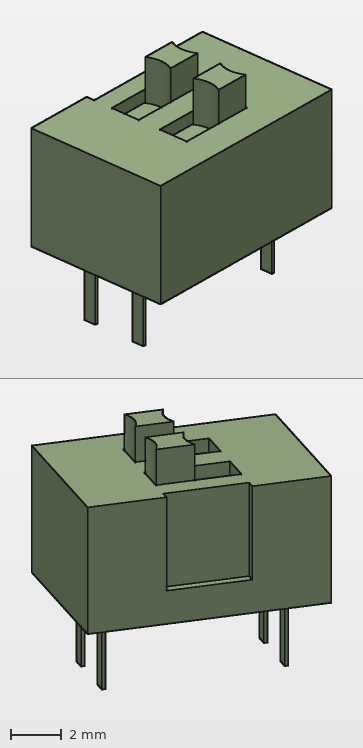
import cadquery as cq

BODY_WIDTH = 6.84
BODY_LENGTH = 10.16
BODY_HEIGHT = 5.41

SWITCH_PITCH = 2.54
SWITCH_SHIFT = -0.11
SWITCH_CENTERS = [SWITCH_SHIFT + side * SWITCH_PITCH / 2 for side in (-1, 1)]

SLOT_WIDTH = 1.42
SLOT_LENGTH = 3.57
SLOT_DEPTH = 0.6

SLIDER_WIDTH = 1.34
SLIDER_LENGTH = 1.61
SLIDER_RISE = 1.5
SLIDER_END_GAP = 0.03
SLIDER_HOLLOW = 0.18

RECESS_DEPTH = 0.4
RECESS_HEIGHT = 3.98

PIN_WIDTH = 0.58
PIN_THICKNESS = 0.15
PIN_LENGTH = 3.19
PIN_ROW_SPACING = 7.62


def block(x_size, y_size, z_size, x, y, z_bottom):
    """Box centred on (x, y) and standing on z_bottom."""
    box = cq.Workplane("XY").box(x_size, y_size, z_size, centered=(True, True, False))
    return box.translate((x, y, z_bottom))


def housing():
    body = block(BODY_WIDTH, BODY_LENGTH, BODY_HEIGHT, 0, 0, 0)
    recess_x = (RECESS_DEPTH - BODY_WIDTH) / 2
    recess = block(RECESS_DEPTH, SLOT_LENGTH, RECESS_HEIGHT, recess_x, 0, BODY_HEIGHT - RECESS_HEIGHT)
    body = body.cut(recess)
    for x in SWITCH_CENTERS:
        body = body.cut(block(SLOT_WIDTH, SLOT_LENGTH, SLOT_DEPTH, x, 0, BODY_HEIGHT - SLOT_DEPTH))
    return body


def slider(x):
    """Upright slider with concave ends, standing on the slot floor."""
    left = x - SLIDER_WIDTH / 2
    right = x + SLIDER_WIDTH / 2
    back = SLOT_LENGTH / 2 - SLIDER_END_GAP
    front = back - SLIDER_LENGTH
    return (
        cq.Workplane("XY", origin=(0, 0, BODY_HEIGHT - SLOT_DEPTH))
        .moveTo(left, front)
        .threePointArc((x, front + SLIDER_HOLLOW), (right, front))
        .lineTo(right, back)
        .threePointArc((x, back - SLIDER_HOLLOW), (left, back))
        .close()
        .extrude(SLOT_DEPTH + SLIDER_RISE)
    )


result = housing()
for switch_x in SWITCH_CENTERS:
    result = result.union(slider(switch_x))
    for row in (-1, 1):
        pin_y = row * PIN_ROW_SPACING / 2
        result = result.union(block(PIN_WIDTH, PIN_THICKNESS, PIN_LENGTH, switch_x, pin_y, -PIN_LENGTH))